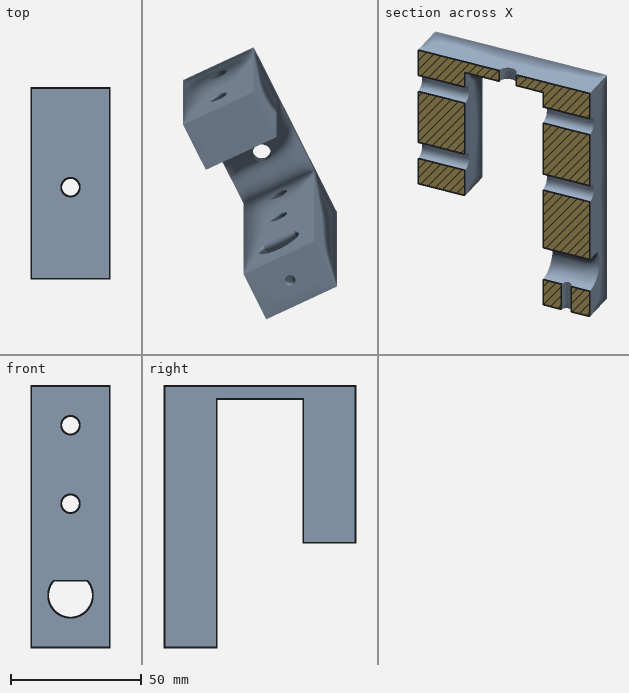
import cadquery as cq

width = 30.0
depth = 73.0
height = 100.0
leg_thickness = 20.0
short_leg_length = 60.0
bridge_thickness = 5.0

hole_diameter = 7.0
leg_hole_drops = (15.0, 45.0)
bridge_hole_y = 35.0

shaft_diameter = 17.0
shaft_height = 20.0
shaft_flat_height = 5.5

screw_hole_diameter = 4.0
screw_hole_y = leg_thickness / 2


def make_bracket():
    """Side outline of the two legs and the bridge, extruded across the width."""
    back_inner_y = depth - leg_thickness
    bridge_bottom = height - bridge_thickness
    short_leg_bottom = height - short_leg_length
    outline = [
        (0, 0),
        (leg_thickness, 0),
        (leg_thickness, bridge_bottom),
        (back_inner_y, bridge_bottom),
        (back_inner_y, short_leg_bottom),
        (depth, short_leg_bottom),
        (depth, height),
        (0, height),
    ]
    return cq.Workplane("YZ").polyline(outline).close().extrude(width)


def hole_along_y(z, diameter, length):
    """Cylinder on the width centre, running back from the front face."""
    start = cq.Vector(width / 2, 0, z)
    return cq.Workplane(cq.Solid.makeCylinder(diameter / 2, length, start, cq.Vector(0, 1, 0)))


def shaft_hole():
    """Shaft bore cut off by the flat."""
    bore = hole_along_y(shaft_height, shaft_diameter, leg_thickness)
    below_flat = cq.Workplane("XY").box(
        width, leg_thickness, shaft_height + shaft_flat_height, centered=False
    )
    return bore.intersect(below_flat)


def hole_along_z(y, bottom, diameter, length):
    """Cylinder on the width centre, running up from the bottom height."""
    start = cq.Vector(width / 2, y, bottom)
    return cq.Workplane(cq.Solid.makeCylinder(diameter / 2, length, start))


def bridge_hole():
    """Vertical hole through the bridge."""
    return hole_along_z(bridge_hole_y, height - bridge_thickness, hole_diameter, bridge_thickness)


def screw_hole():
    """Vertical hole ending on the shaft axis."""
    return hole_along_z(screw_hole_y, 0, screw_hole_diameter, shaft_height)


result = make_bracket()
for drop in leg_hole_drops:
    result = result.cut(hole_along_y(height - drop, hole_diameter, depth))
result = result.cut(shaft_hole()).cut(bridge_hole()).cut(screw_hole())